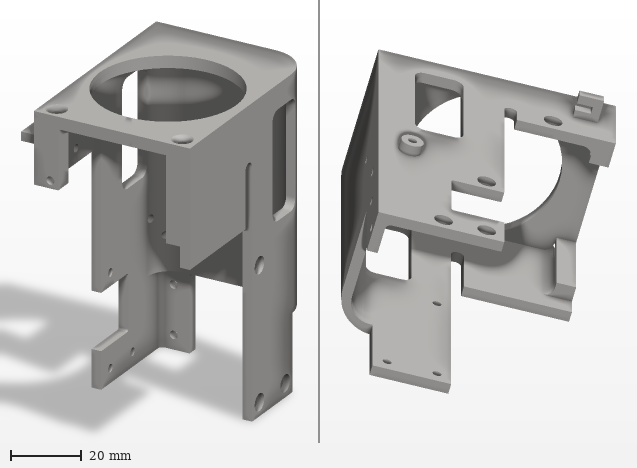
import cadquery as cq

width = 50.7
depth = 69.4
height = 99.1
wall = 3.2
top_plate = 3.9
outer_corner_radius = 11.9
inner_right = width - wall
inner_back = depth - wall
ceiling = height - top_plate

lip_depth = 5.7
lip_corner_radius = 2.9
left_back_radius = 7.4
right_back_radius = 7.1
foot_corner_radius = 1.6

top_bore_diameter = width - 2 * wall
top_bore_y = 31.8

opening_left = 7.9
opening_right = 42.9
left_lip_bottom = 76.2
right_lip_bottom = 67.9
right_front_bottom = 61.4

slot_width = 3.8
slot_radius = slot_width / 2
left_slot_front = 28.8
left_slot_top = 82.5
right_slot_front = 31.5
right_slot_top = 81.2

back_bottom = 24.7
foot_width = 12.7
right_leg_back = 58.3
small_corner_radius = 0.7

notch_back = 48.0
notch_bottom = 12.0
notch_top = 30.1

window_bottom = 56.6
window_top = 91.3
window_corner_radius = 3.0
left_window_front = 44.5
left_window_back = 58.7
right_window_front = 46.9
right_window_back = 60.3

screw_diameter = 2.6
head_diameter = 5.5
head_depth = 2.1
left_screws_yz = [(18.3, 80.9), (37.8, 34.4), (37.8, 4.7), (50.4, 4.7)]
right_screws_yz = [(39.45, 47.0), (39.45, 4.4), (54.0, 4.4)]
back_screws_xz = [(13.0, 55.6), (6.2, 36.0), (7.4, 20.2), (7.4, 4.6)]
lip_screw_x = 5.4
lip_screw_z = 78.7
lip_screw_depth = lip_depth

top_screw_x = 5.0
top_screw_y = 4.4
top_screw_diameter = 3.4
top_sink_diameter = 6.4
top_sink_angle = 90.0
top_screw_depth = 9.9

boss_diameter = 6.5
boss_length = 3.2
boss_y = 60.3
boss_z = 42.1

hook_length = 7.2
hook_front = 5.4
hook_back = 12.6
hook_bottom = 86.0
hook_thickness = 2.9
hook_slot_left = -4.6
hook_slot_right = -2.4
hook_slot_front = 7.9


def block(x0, x1, y0, y1, z0, z1):
    """Box between two opposite corners."""
    return cq.Workplane("XY").box(x1 - x0, y1 - y0, z1 - z0, centered=False).translate((x0, y0, z0))


def rod_x(x0, x1, y, z, diameter):
    """Cylinder along X."""
    return cq.Workplane("YZ", origin=(x0, y, z)).circle(diameter / 2).extrude(x1 - x0)


def rod_y(x, z, y0, y1, diameter):
    """Cylinder along Y."""
    return cq.Workplane("XZ", origin=(x, y0, z)).circle(diameter / 2).extrude(y0 - y1)


def cavity(cavity_height, left_radius):
    """Inner space rising from the bottom, with rounded vertical corners."""
    space = block(wall, inner_right, lip_depth, inner_back, 0, cavity_height)
    space = space.edges("|Z and <Y").fillet(lip_corner_radius)
    space = space.edges("|Z and >Y and <X").fillet(left_radius)
    return space.edges("|Z and >Y and >X").fillet(right_back_radius)


def relief_slot(x0, x1, front, top):
    """Round-topped slot through a side wall, open at the bottom."""
    slot = block(x0, x1, front, front + slot_width, 0, top - slot_radius)
    return slot.union(rod_x(x0, x1, front + slot_radius, top - slot_radius, slot_width))


def window(x0, x1, front, back):
    """Rounded rectangular opening between x0 and x1, through a side wall."""
    return block(x0, x1, front, back, window_bottom, window_top).edges("|X").fillet(window_corner_radius)


body = block(0, width, 0, depth, 0, height)
body = body.edges("|Z and >X and >Y").fillet(outer_corner_radius)
body = body.cut(cavity(ceiling, left_back_radius))
body = body.cut(cavity(back_bottom, foot_corner_radius))

top_bore = cq.Workplane("XY", origin=(width / 2, top_bore_y, ceiling))
body = body.cut(top_bore.circle(top_bore_diameter / 2).extrude(top_plate))

body = body.cut(block(opening_left, opening_right, 0, inner_back / 2, 0, ceiling))
body = body.cut(block(opening_right, inner_right, 0, inner_back / 2, 0, right_lip_bottom))

left_slot_back = left_slot_front + slot_width
body = body.cut(block(0, opening_left, 0, left_slot_back, 0, left_lip_bottom))
body = body.cut(relief_slot(0, wall, left_slot_front, left_slot_top))
body = body.cut(block(inner_right, width, 0, right_slot_front, 0, right_front_bottom))
body = body.cut(relief_slot(inner_right, width, right_slot_front, right_slot_top))

rear_cutout = block(foot_width, width, right_leg_back, depth, 0, back_bottom)
body = body.cut(rear_cutout.edges("|Y and <X and >Z").fillet(small_corner_radius))

notch = block(0, wall, left_slot_front, notch_back, notch_bottom, notch_top)
body = body.cut(notch.edges("|X and >Y").fillet(small_corner_radius))

body = body.cut(window(0, wall, left_window_front, left_window_back))
body = body.cut(window(opening_right, width, right_window_front, right_window_back))

body = body.union(rod_x(-boss_length, wall, boss_y, boss_z, boss_diameter))
body = body.cut(rod_x(-boss_length, 2 * wall, boss_y, boss_z, screw_diameter))
hook = block(-hook_length, 0, hook_front, hook_back, hook_bottom, hook_bottom + hook_thickness)
hook_slot = block(
    hook_slot_left, hook_slot_right, hook_slot_front, hook_back, hook_bottom, hook_bottom + hook_thickness
)
body = body.union(hook.cut(hook_slot))

for y, z in left_screws_yz:
    body = body.cut(rod_x(0, wall, y, z, screw_diameter))
    body = body.cut(rod_x(0, head_depth, y, z, head_diameter))
for y, z in right_screws_yz:
    body = body.cut(rod_x(inner_right, width, y, z, screw_diameter))
    body = body.cut(rod_x(width - head_depth, width, y, z, head_diameter))

for x, z in back_screws_xz:
    body = body.cut(rod_y(x, z, inner_back - left_back_radius, depth, screw_diameter))
body = body.cut(rod_y(lip_screw_x, lip_screw_z, 0, lip_screw_depth, screw_diameter))

body = (
    body.faces(">Z")
    .workplane(origin=(0, 0, height))
    .pushPoints([(top_screw_x, top_screw_y), (width - top_screw_x, top_screw_y)])
    .cskHole(top_screw_diameter, top_sink_diameter, top_sink_angle, top_screw_depth)
)

result = body